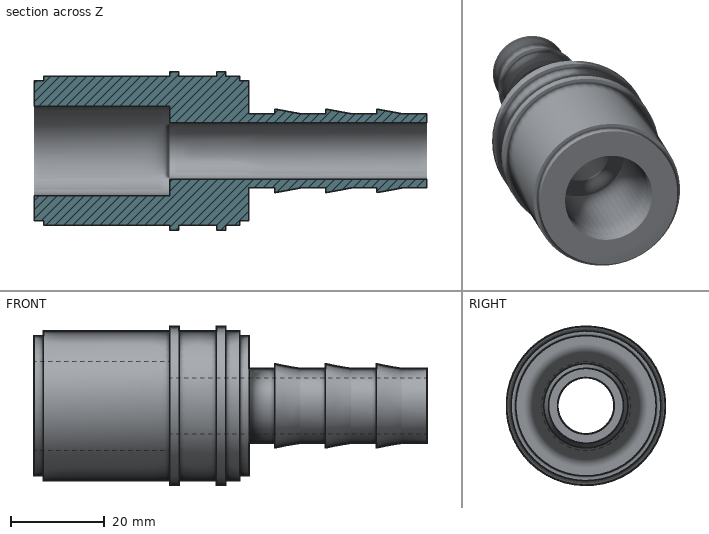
import cadquery as cq

total_length = 84.0
body_length = 46.0
tail_length = total_length - body_length

body_diameter = 32.0
front_step_diameter = 30.0
front_step_length = 2.0
rear_step_diameter = 30.0
rear_step_length = 2.0

collar_diameter = 34.0
collar_width = 2.0
collar_starts = (29.0, 39.0)

tail_diameter = 16.0
barb_diameter = 18.0
barb_count = 3
barb_length = tail_length / (2 * barb_count + 1)

socket_diameter = 19.0
socket_depth = collar_starts[0]
through_diameter = 12.0


def cylinder(start, length, diameter):
    """Cylinder on the X axis, beginning at X = start."""
    return cq.Workplane("YZ", origin=(start, 0, 0)).circle(diameter / 2).extrude(length)


def make_body():
    """Stepped body with its raised collars."""
    core_length = body_length - front_step_length - rear_step_length
    core_end = front_step_length + core_length
    body = cylinder(0, front_step_length, front_step_diameter)
    body = body.union(cylinder(front_step_length, core_length, body_diameter))
    body = body.union(cylinder(core_end, rear_step_length, rear_step_diameter))
    for start in collar_starts:
        body = body.union(cylinder(start, collar_width, collar_diameter))
    return body


def make_hose_tail():
    """Outline of the barbed tail revolved about X; barbs taper toward the free end."""
    tail_radius = tail_diameter / 2
    outline = cq.Workplane("XY").moveTo(body_length, 0).lineTo(body_length, tail_radius)
    for index in range(barb_count):
        barb_start = body_length + (2 * index + 1) * barb_length
        outline = outline.lineTo(barb_start, tail_radius)
        outline = outline.lineTo(barb_start, barb_diameter / 2)
        outline = outline.lineTo(barb_start + barb_length, tail_radius)
    outline = outline.lineTo(total_length, tail_radius).lineTo(total_length, 0).close()
    return outline.revolve(360, (0, 0, 0), (1, 0, 0))


def cut_bores(part):
    """Wide socket at the front and a narrower bore right through."""
    part = part.cut(cylinder(0, socket_depth, socket_diameter))
    return part.cut(cylinder(0, total_length, through_diameter))


result = cut_bores(make_body().union(make_hose_tail()))